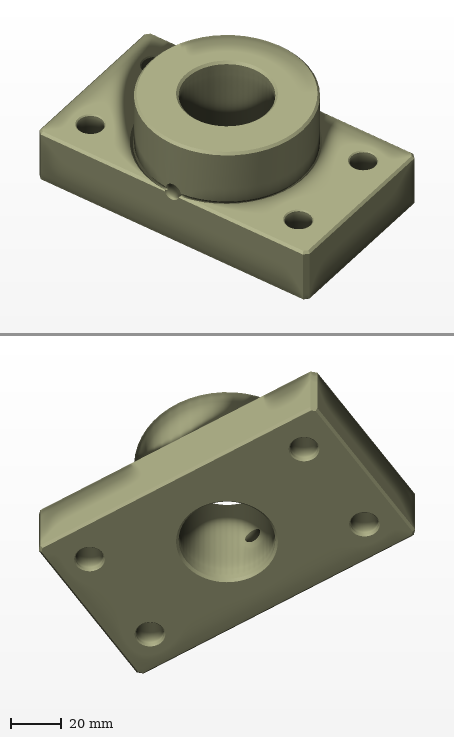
import cadquery as cq

plate_length = 130.0
plate_width = 75.0
plate_height = 25.0
corner_chamfer = 2.0
edge_chamfer = 1.0

total_height = 50.0
hub_diameter = 73.0
hub_chamfer = 1.0
hub_clearance = 0.32
bore_diameter = 38.0
bore_chamfer = 1.0

groove_depth = 1.24
groove_floor_diameter = hub_diameter
groove_outer_diameter = groove_floor_diameter + 2 * groove_depth
groove_offset_x = -0.5

hole_spacing_x = 100.1
hole_spacing_y = 44.0
hole_diameter = 11.0
hole_chamfer = 0.5

grease_hole_diameter = 7.0
grease_seam_angle = 45


def make_plate():
    """Plate with chamfered vertical corners and chamfered top and bottom edges."""
    plate = cq.Workplane("XY").box(plate_length, plate_width, plate_height, centered=(True, True, False))
    plate = plate.edges("|Z").chamfer(corner_chamfer)
    return plate.faces("<Z or >Z").edges().chamfer(edge_chamfer)


def make_groove():
    """Shallow conical recess that tapers inward below the plate's top face."""
    recess = cq.Solid.makeCone(
        groove_floor_diameter / 2,
        groove_outer_diameter / 2,
        groove_depth,
        pnt=cq.Vector(groove_offset_x, 0, plate_height - groove_depth),
    )
    return cq.Workplane(recess)


def make_hub():
    """Hub with both rims chamfered, standing on a narrower neck that runs through the plate."""
    rim_height = plate_height + hub_clearance - hub_chamfer
    neck = cq.Workplane("XY").circle(hub_diameter / 2 - hub_chamfer).extrude(rim_height)
    hub = (
        cq.Workplane("XY", origin=(0, 0, rim_height))
        .circle(hub_diameter / 2)
        .extrude(total_height - rim_height)
    )
    return neck.union(hub.faces("<Z or >Z").edges().chamfer(hub_chamfer))


def make_chamfered_hole(diameter, height, chamfer):
    """Through-hole cutter that flares at both ends."""
    radius = diameter / 2
    flared_radius = radius + chamfer
    profile = [
        (0, 0),
        (flared_radius, 0),
        (radius, chamfer),
        (radius, height - chamfer),
        (flared_radius, height),
        (0, height),
    ]
    return cq.Workplane("XZ").polyline(profile).close().revolve(360, (0, 0), (0, 1))


def make_grease_hole():
    """Radial cutter from the bore axis out through the -Y side."""
    return (
        cq.Workplane("XZ", origin=(0, 0, plate_height))
        .transformed(rotate=(0, 0, grease_seam_angle))
        .circle(grease_hole_diameter / 2)
        .extrude(plate_width)
    )


result = make_plate().cut(make_groove()).union(make_hub())
result = result.cut(make_chamfered_hole(bore_diameter, total_height, bore_chamfer))
result = result.cut(make_grease_hole())

mounting_hole = make_chamfered_hole(hole_diameter, plate_height, hole_chamfer)
for side_x in (-1, 1):
    for side_y in (-1, 1):
        position = (side_x * hole_spacing_x / 2, side_y * hole_spacing_y / 2, 0)
        result = result.cut(mounting_hole.translate(position))